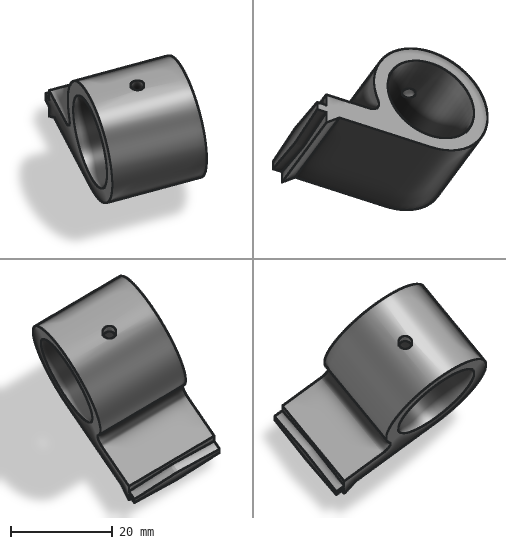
import cadquery as cq
import math

width = 20.0
ring_diameter = 25.0
bore_diameter = 19.0
ring_radius = ring_diameter / 2
overall_length = 37.5
overall_height = 27.4

tongue_length = 2.0
arm_thickness = 5.0
hook_run = 2.9
fillet_radius = 2.0
arm_bottom = -ring_radius
arm_top = arm_bottom + arm_thickness
tongue_tip = ring_radius - overall_length
arm_end = tongue_tip + tongue_length
hook_bottom = ring_radius - overall_height

tongue_end_height = 1.87
tongue_mid_height = 3.75
tongue_flat = 0.6
tongue_rise = 1.27
tongue_center_z = arm_bottom + tongue_rise

pin_hole_diameter = 2.7


def make_ring_and_arm():
    """Ring disc, arm, hook and the fillet blending arm into ring."""
    fillet_z = arm_top + fillet_radius
    center_distance = ring_radius + fillet_radius
    fillet_x = -math.sqrt(center_distance**2 - fillet_z**2)
    tangent_scale = ring_radius / center_distance
    ring_tangent = (fillet_x * tangent_scale, fillet_z * tangent_scale)
    start_angle = -math.pi / 2
    end_angle = math.atan2(-fillet_z, -fillet_x)
    mid_angle = (start_angle + end_angle) / 2
    fillet_mid = (
        fillet_x + fillet_radius * math.cos(mid_angle),
        fillet_z + fillet_radius * math.sin(mid_angle),
    )
    return (
        cq.Workplane("XZ")
        .moveTo(0, arm_bottom)
        .lineTo(arm_end + hook_run, arm_bottom)
        .lineTo(arm_end, hook_bottom)
        .lineTo(arm_end, arm_top)
        .lineTo(fillet_x, arm_top)
        .threePointArc(fillet_mid, ring_tangent)
        .threePointArc((ring_radius, 0), (0, arm_bottom))
        .close()
        .extrude(width / 2, both=True)
    )


def make_tongue():
    """Flattened hexagonal tongue on the end face of the arm."""
    half_width = width / 2
    half_end = tongue_end_height / 2
    half_mid = tongue_mid_height / 2
    half_flat = tongue_flat / 2
    outline = [
        (-half_width, -half_end),
        (-half_flat, -half_mid),
        (half_flat, -half_mid),
        (half_width, -half_end),
        (half_width, half_end),
        (half_flat, half_mid),
        (-half_flat, half_mid),
        (-half_width, half_end),
    ]
    return (
        cq.Workplane("YZ", origin=(tongue_tip, 0, tongue_center_z))
        .polyline(outline)
        .close()
        .extrude(tongue_length)
    )


bore = cq.Workplane("XZ").circle(bore_diameter / 2).extrude(width / 2, both=True)

pin_hole = cq.Workplane("XY").circle(pin_hole_diameter / 2).extrude(ring_radius)

result = make_ring_and_arm().union(make_tongue()).cut(bore).cut(pin_hole)